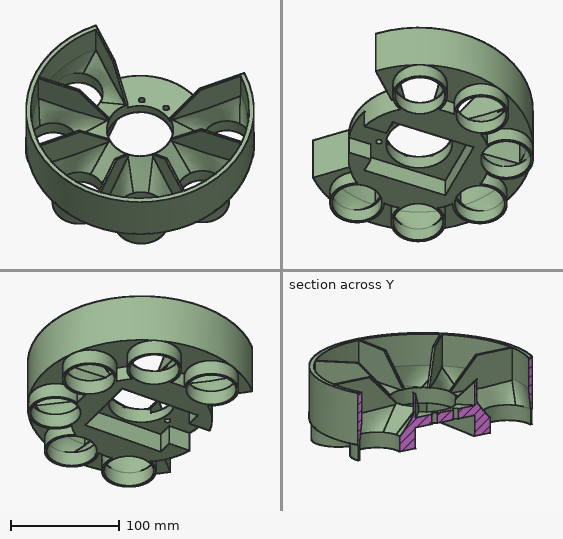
import cadquery as cq
import math

outer_radius = 105.0
inner_wall_radius = 100.5
tray_height = 50.0
floor_height = 20.0

compartment_angle = 45.0
first_partition_angle = 135.0
compartment_count = 6
partition_thickness = 2.0

center_hole_diameter = 61.0

spout_circle_radius = 80.0
spout_outer_diameter = 50.0
spout_bore_diameter = 46.0
spout_length = 15.0

hub_radius = 65.0
hub_deck_z = 15.0
cavity_width = 66.4
cavity_length = 81.0
cavity_ceiling = 5.0
slot_width = 36.0

screw_hole_diameter = 5.4
screw_hole_spacing = 24.0
screw_hole_y = 35.0

center_hole_radius = center_hole_diameter / 2
half_partition = partition_thickness / 2
half_compartment = compartment_angle / 2
bottom_z = -spout_length
total_height = tray_height + spout_length
partition_angles = [first_partition_angle + i * compartment_angle for i in range(compartment_count + 1)]
compartment_angles = [angle + half_compartment for angle in partition_angles[:-1]]


def polar(radius, angle):
    """Point at a radius and an angle in degrees."""
    return (radius * math.cos(math.radians(angle)), radius * math.sin(math.radians(angle)))


def cylinder(radius, base_z, height):
    return cq.Workplane("XY").workplane(offset=base_z).circle(radius).extrude(height)


def partition(angle):
    """Radial rib whose top slopes down at 45 degrees to the floor at the centre hole."""
    slope_start_radius = center_hole_radius + tray_height - floor_height
    middle_wall_radius = (inner_wall_radius + outer_radius) / 2
    profile = [
        (center_hole_radius, 0),
        (middle_wall_radius, 0),
        (middle_wall_radius, tray_height),
        (slope_start_radius, tray_height),
        (center_hole_radius, floor_height),
    ]
    rib = cq.Workplane("XZ").polyline(profile).close().extrude(half_partition, both=True)
    return rib.rotate((0, 0, 0), (0, 0, 1), angle)


def open_sector():
    """Empty 90-degree wedge on the +Y side, bounded by the outer faces of the two end partitions."""
    apex_y = half_partition * math.sqrt(2)
    reach = 2 * outer_radius
    outline = [(0, apex_y), (reach, apex_y + reach), (-reach, apex_y + reach)]
    return cq.Workplane("XY").polyline(outline).close().extrude(tray_height)


def funnel(angle):
    """Ruled transition from a compartment outline at the floor to the round bore at Z = 0."""
    inner_start = polar(center_hole_radius, -half_compartment)
    outer_start = polar(inner_wall_radius, -half_compartment)
    outer_end = polar(inner_wall_radius, half_compartment)
    inner_end = polar(center_hole_radius, half_compartment)

    inner_arc = math.radians(compartment_angle) * center_hole_radius
    outer_arc = math.radians(compartment_angle) * inner_wall_radius
    side = inner_wall_radius - center_hole_radius
    perimeter = inner_arc + outer_arc + 2 * side
    inner_split = 180 - 180 * inner_arc / perimeter
    outer_split = 180 * outer_arc / perimeter
    side_middle = (inner_split + outer_split) / 2

    def bore_point(bore_angle):
        x, y = polar(spout_bore_diameter / 2, bore_angle)
        return (spout_circle_radius + x, y)

    outline = (
        cq.Workplane("XY")
        .moveTo(*bore_point(-inner_split))
        .threePointArc(bore_point(-side_middle), bore_point(-outer_split))
        .threePointArc(bore_point(0), bore_point(outer_split))
        .threePointArc(bore_point(side_middle), bore_point(inner_split))
        .threePointArc(bore_point(180), bore_point(-inner_split))
        .close()
        .workplane(offset=floor_height)
        .moveTo(*inner_start)
        .lineTo(*outer_start)
        .threePointArc((inner_wall_radius, 0), outer_end)
        .lineTo(*inner_end)
        .threePointArc((center_hole_radius, 0), inner_start)
        .close()
    )
    return outline.loft(ruled=True).rotate((0, 0, 0), (0, 0, 1), angle)


def hub_cavity():
    """Rectangular recess under the hub with a narrower slot leaving through the +Y side."""
    depth = cavity_ceiling - bottom_z
    plane = cq.Workplane("XY").workplane(offset=bottom_z)
    recess = plane.rect(cavity_width, cavity_length).extrude(depth)
    slot = plane.center(0, hub_radius / 2).rect(slot_width, hub_radius).extrude(depth)
    return recess.union(slot)


tray = cylinder(outer_radius, 0, tray_height).cut(
    cylinder(inner_wall_radius, floor_height, tray_height - floor_height)
)
tray = tray.cut(open_sector())

body = tray.union(cylinder(hub_radius, bottom_z, hub_deck_z - bottom_z))
spout_centers = [polar(spout_circle_radius, angle) for angle in compartment_angles]
for center in spout_centers:
    body = body.union(cylinder(spout_outer_diameter / 2, bottom_z, spout_length).translate((*center, 0)))

for angle, center in zip(compartment_angles, spout_centers):
    body = body.cut(funnel(angle))
    body = body.cut(cylinder(spout_bore_diameter / 2, bottom_z, spout_length).translate((*center, 0)))
for angle in partition_angles:
    body = body.union(partition(angle))

body = body.cut(hub_cavity())
body = body.cut(cylinder(center_hole_radius, bottom_z, total_height))
for side in (-1, 1):
    screw_hole = cylinder(screw_hole_diameter / 2, bottom_z, total_height)
    body = body.cut(screw_hole.translate((side * screw_hole_spacing / 2, screw_hole_y, 0)))

result = body